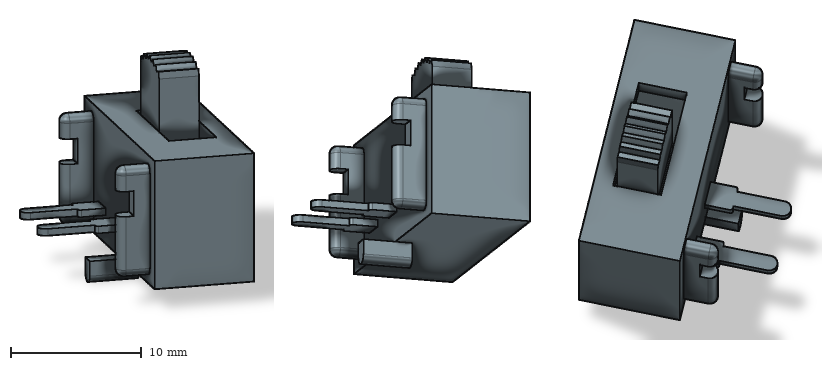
import cadquery as cq
import math

housing_length = 19.3
housing_depth = 7.91
housing_height = 10.17

recess_length = 8.95
recess_width = 3.76
recess_depth = 1.35
recess_y = 4.52

knob_width = 3.18
knob_top = 5.05
knob_x = -1.8

tooth_tip_radius = 4.79
tooth_root_radius = 4.44
tooth_angle = 10.0
tooth_count = 7
grip_center_z = knob_top - tooth_tip_radius

rib_radius = 0.64
rib_height = 8.76
rib_reach = 2.55
rib_spacing = 15.48
notch_depth = 1.27
notch_height = 1.99
notch_top = -2.62

key_drop = 1.8
key_overlap = 1.37

pin_thickness = 0.56
pin_top = -7.33
pin_length = 6.52
pin_tip_radius = 0.64
shoulder_width = 2.0
shoulder_length = 2.16
shoulder_fillet = 0.2
pin_pitch = 4.77
pin_positions = [-pin_pitch, 0]


def make_knob():
    """Knob standing on the recess floor, with a toothed, crowned top."""
    grip = []
    for step in range(-tooth_count, tooth_count + 1):
        angle = math.radians(step * tooth_angle / 2)
        radius = tooth_root_radius if step % 2 else tooth_tip_radius
        grip.append((knob_x + radius * math.sin(angle), grip_center_z + radius * math.cos(angle)))
    left, right = grip[0][0], grip[-1][0]
    outline = [(left, -recess_depth), *grip, (right, -recess_depth)]
    return (
        cq.Workplane("XZ", origin=(0, recess_y + knob_width / 2, 0))
        .polyline(outline)
        .close()
        .extrude(knob_width)
    )


def make_rib(x):
    """Upright rib with a rounded nose and ends, notched across its nose."""
    nose_y = rib_radius - rib_reach
    straight = rib_height - 2 * rib_radius
    web = (
        cq.Workplane("XZ", origin=(x, 0, -housing_height / 2))
        .slot2D(rib_height, 2 * rib_radius, 90)
        .extrude(-nose_y)
    )
    nose = (
        cq.Workplane("XY", origin=(x, nose_y, -(housing_height + straight) / 2))
        .circle(rib_radius)
        .extrude(straight)
    )
    rib = web.union(nose)
    for end in (-1, 1):
        end_z = (end * straight - housing_height) / 2
        rib = rib.union(cq.Workplane("XY", origin=(x, nose_y, end_z)).sphere(rib_radius))
    notch = cq.Workplane("XY").box(2 * rib_radius, notch_depth, notch_height).translate(
        (x, notch_depth / 2 - rib_reach, notch_top - notch_height / 2)
    )
    return rib.cut(notch)


def make_key():
    """Locating key below the housing, reaching forward past its front face."""
    side_bottom = -housing_height - key_drop + rib_radius
    return (
        cq.Workplane("XZ", origin=(0, key_overlap, 0))
        .moveTo(-rib_radius, -housing_height)
        .lineTo(-rib_radius, side_bottom)
        .threePointArc((0, side_bottom - rib_radius), (rib_radius, side_bottom))
        .lineTo(rib_radius, -housing_height)
        .close()
        .extrude(key_overlap + rib_reach)
    )


def make_housing():
    """Housing block with its recess, knob, ribs and key."""
    block = cq.Workplane("XY").box(housing_length, housing_depth, housing_height).translate(
        (0, housing_depth / 2, -housing_height / 2)
    )
    recess = cq.Workplane("XY").box(recess_length, recess_width, recess_depth).translate(
        (0, recess_y, -recess_depth / 2)
    )
    body = block.cut(recess).union(make_knob()).union(make_key())
    for side in (-1, 1):
        body = body.union(make_rib(side * rib_spacing / 2))
    return body


def make_pin(x):
    """Terminal butted against the front face of the housing."""
    shoulder = (
        cq.Workplane("XY", origin=(x, -shoulder_length / 2, pin_top - pin_thickness))
        .rect(shoulder_width, shoulder_length)
        .extrude(pin_thickness)
        .edges("|Z and <Y")
        .fillet(shoulder_fillet)
    )
    tip_y = pin_tip_radius - pin_length
    blade = (
        cq.Workplane("XY", origin=(x, 0, pin_top - pin_thickness))
        .moveTo(-pin_tip_radius, 0)
        .lineTo(-pin_tip_radius, tip_y)
        .threePointArc((0, tip_y - pin_tip_radius), (pin_tip_radius, tip_y))
        .lineTo(pin_tip_radius, 0)
        .close()
        .extrude(pin_thickness)
    )
    return shoulder.union(blade)


housing = make_housing()
pins = [make_pin(x) for x in pin_positions]

result = cq.Compound.makeCompound([housing.val(), *[pin.val() for pin in pins]])